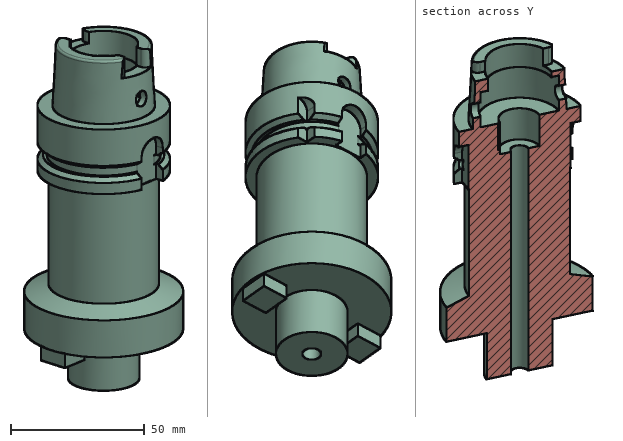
import cadquery as cq

total_height = 135.0
spigot_length = 20.0
taper_length = 25.0
base_edge_height = 15.0
base_cone_height = 3.1

spigot_radius = 13.5
base_radius = 30.0
body_radius = 20.8
collar_radius = 25.0
taper_base_radius = 19.3
taper_slope = 0.05
taper_tip_round = 1.0

collar_height = 26.0
groove_center_drop = 18.1
groove_mouth_width = 6.9
groove_floor_width = 3.6
groove_shoulder_radius = 22.8
groove_floor_radius = 21.5

mouth_radius = 13.0
mouth_depth = 10.0
chamber_radius = 15.9
tube_radius = 8.0
tube_depth = 13.5
through_radius = 3.5

cross_hole_radius = 3.0
cross_hole_rise = 7.5

tip_slot_width = 10.5
left_tip_slot_depth = 4.6
right_tip_slot_depth = 7.4
tip_slot_round = 2.3
tip_flat = 16.3

collar_slot_width = 12.0
collar_slot_floor = 20.9
collar_slot_drop = 6.8
notch_width = 8.9
notch_center_y = 20.0
notch_floor = 15.1
notch_drop = 7.0

key_width = 12.0
key_height = 6.0
key_inner_y = 17.7
key_outer_y = 29.0

collar_top = total_height - taper_length
collar_bottom = collar_top - collar_height
groove_center = collar_top - groove_center_drop
taper_tip_radius = taper_base_radius - taper_slope * taper_length


def turned_body():
    base_edge_top = spigot_length + base_edge_height
    half_mouth = groove_mouth_width / 2
    half_floor = groove_floor_width / 2
    outline = [
        (0, 0),
        (spigot_radius, 0),
        (spigot_radius, spigot_length),
        (base_radius, spigot_length),
        (base_radius, base_edge_top),
        (body_radius, base_edge_top + base_cone_height),
        (body_radius, collar_bottom),
        (collar_radius, collar_bottom),
        (collar_radius, groove_center - half_mouth),
        (groove_shoulder_radius, groove_center - half_floor),
        (groove_floor_radius, groove_center - half_floor),
        (groove_floor_radius, groove_center + half_floor),
        (groove_shoulder_radius, groove_center + half_floor),
        (collar_radius, groove_center + half_mouth),
        (collar_radius, collar_top),
        (taper_base_radius, collar_top),
        (taper_tip_radius, total_height),
        (0, total_height),
    ]
    body = cq.Workplane("YZ").polyline(outline).close().revolve(360, (0, 0), (0, 1))
    return body.faces(">Z").edges().fillet(taper_tip_round)


def cylinder(radius, bottom, top):
    return cq.Workplane("XY").workplane(offset=bottom).circle(radius).extrude(top - bottom)


def bores():
    mouth = cylinder(mouth_radius, collar_top, total_height)
    chamber = cylinder(chamber_radius, collar_top, total_height - mouth_depth)
    tube = cylinder(tube_radius, collar_top - tube_depth, collar_top)
    through = cylinder(through_radius, 0, collar_top)
    return mouth.union(chamber).union(tube).union(through)


def cross_hole():
    height = collar_top + cross_hole_rise
    hole = cq.Workplane("YZ").center(0, height).circle(cross_hole_radius)
    return hole.extrude(taper_base_radius, both=True)


def tip_slot(depth):
    """Slot on the +X side of the tip, opening to full width past a flat across the tip."""
    half_width = tip_slot_width / 2
    round_start_x = tip_flat - tip_slot_round
    round_end_y = half_width + tip_slot_round
    return (
        cq.Workplane("XY")
        .workplane(offset=total_height - depth)
        .moveTo(0, -half_width)
        .lineTo(round_start_x, -half_width)
        .tangentArcPoint((tip_flat, -round_end_y), relative=False)
        .lineTo(tip_flat, -taper_base_radius)
        .lineTo(taper_base_radius, -taper_base_radius)
        .lineTo(taper_base_radius, taper_base_radius)
        .lineTo(tip_flat, taper_base_radius)
        .lineTo(tip_flat, round_end_y)
        .tangentArcPoint((round_start_x, half_width), relative=False)
        .lineTo(0, half_width)
        .close()
        .extrude(depth)
    )


def round_topped_slot(side, center_y, width, floor, drop):
    """Slot open at the collar's underside, with a flat floor facing away along X."""
    radius = width / 2
    arc_height = collar_top - drop - radius
    return (
        cq.Workplane("YZ")
        .workplane(offset=side * floor)
        .moveTo(center_y - radius, collar_bottom)
        .lineTo(center_y - radius, arc_height)
        .threePointArc((center_y, arc_height + radius), (center_y + radius, arc_height))
        .lineTo(center_y + radius, collar_bottom)
        .close()
        .extrude(side * collar_radius)
    )


def drive_key(side):
    length = key_outer_y - key_inner_y
    middle_y = side * (key_inner_y + key_outer_y) / 2
    key = cq.Workplane("XY").workplane(offset=spigot_length - key_height).center(0, middle_y)
    return key.rect(key_width, length).extrude(key_height)


result = turned_body().cut(bores()).cut(cross_hole())
left_tip_slot = tip_slot(left_tip_slot_depth).rotate((0, 0, 0), (0, 0, 1), 180)
result = result.cut(left_tip_slot).cut(tip_slot(right_tip_slot_depth))
for side in (-1, 1):
    result = result.cut(round_topped_slot(side, 0, collar_slot_width, collar_slot_floor, collar_slot_drop))
    result = result.union(drive_key(side))
result = result.cut(round_topped_slot(-1, notch_center_y, notch_width, notch_floor, notch_drop))